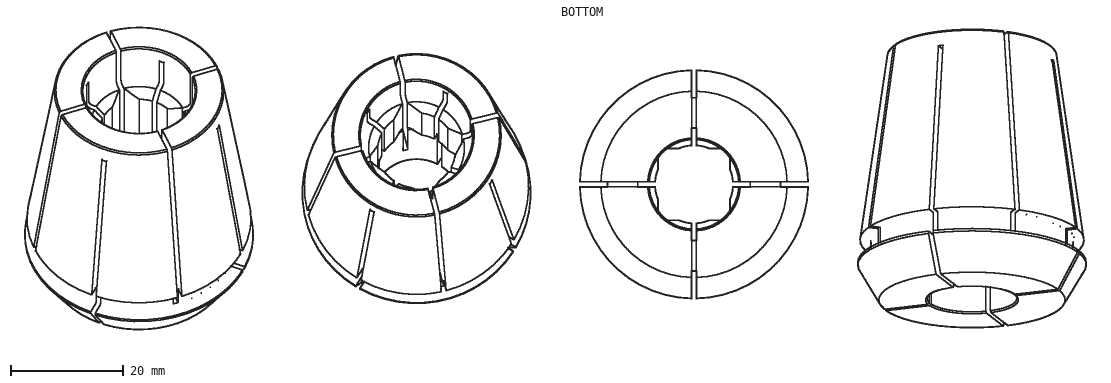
import cadquery as cq
import math

height = 46.0
flange_diameter = 40.8
flange_radius = flange_diameter / 2
taper_half_angle = 8.0
edge_break = 0.28
chamfer_angle = 45.0

nose_half_angle = 30.0
flange_rim_bottom = 6.55
nose_radius = flange_radius - flange_rim_bottom * math.tan(math.radians(nose_half_angle))
flange_top = 7.0
groove_radius = 18.1
groove_fillet = 0.25
taper_bottom = 11.2
taper_base_radius = 20.0
taper_top_radius = taper_base_radius - (height - taper_bottom) * math.tan(math.radians(taper_half_angle))

bore_radius = 10.05
bore_floor = 37.15
floor_fillet = 0.85
seat_radius = 8.55

clamp_radius = 8.0
clamp_length = 20.7
hole_radius = 6.95
square_side = 12.8
square_corner_fillet = 1.3

slot_width = 0.87
lower_slot_top = 43.1
upper_slot_floor = 7.45
slot_length = 1.5 * flange_diameter


def make_body():
    """Revolved outer shape with a filleted groove and a light chamfer at the shank end."""
    fillet_edge = groove_radius + groove_fillet
    return (
        cq.Workplane("XZ")
        .lineTo(nose_radius, 0)
        .lineTo(flange_radius, flange_rim_bottom)
        .lineTo(flange_radius, flange_top)
        .lineTo(fillet_edge, flange_top)
        .radiusArc((groove_radius, flange_top + groove_fillet), groove_fillet)
        .lineTo(groove_radius, taper_bottom - groove_fillet)
        .radiusArc((fillet_edge, taper_bottom), groove_fillet)
        .lineTo(taper_base_radius, taper_bottom)
        .lineTo(taper_top_radius, height - edge_break)
        .lineTo(taper_top_radius - edge_break, height)
        .lineTo(0, height)
        .close()
        .revolve(360, (0, 0, 0), (0, 1, 0))
    )


def make_bore():
    """Cutter for the shank bore, its filleted floor and the 45 degree seat."""
    seat_depth = seat_radius - hole_radius
    return (
        cq.Workplane("XZ")
        .moveTo(0, bore_floor - seat_depth)
        .lineTo(hole_radius, bore_floor - seat_depth)
        .lineTo(seat_radius, bore_floor)
        .lineTo(bore_radius - floor_fillet, bore_floor)
        .radiusArc((bore_radius, bore_floor + floor_fillet), -floor_fillet)
        .lineTo(bore_radius, height - edge_break)
        .lineTo(bore_radius + edge_break, height)
        .lineTo(0, height)
        .close()
        .revolve(360, (0, 0, 0), (0, 1, 0))
    )


def make_tool_opening():
    """Cutter for the chamfered clamping bore and the square with its round hole above it."""
    clamp = cq.Workplane("XY").circle(clamp_radius).extrude(clamp_length)
    mouth = cq.Workplane("XY").circle(clamp_radius + edge_break).extrude(edge_break, taper=chamfer_angle)
    hole = cq.Workplane("XY").circle(hole_radius).extrude(bore_floor)
    square = (
        cq.Workplane("XY")
        .workplane(offset=clamp_length)
        .rect(square_side, square_side)
        .extrude(bore_floor - clamp_length)
        .edges("|Z")
        .fillet(square_corner_fillet)
    )
    return clamp.union(mouth).union(hole).union(square)


def make_slots(first_angle, bottom, top):
    """Two crossing slots, each running through the full diameter."""
    slot = (
        cq.Workplane("XY")
        .workplane(offset=bottom)
        .rect(slot_length, slot_width)
        .extrude(top - bottom)
    )
    cutter = cq.Workplane("XY")
    for angle in (first_angle, first_angle + 90):
        cutter = cutter.add(slot.rotate((0, 0, 0), (0, 0, 1), angle))
    return cutter.combine()


result = (
    make_body()
    .cut(make_bore())
    .cut(make_tool_opening())
    .cut(make_slots(0, 0, lower_slot_top))
    .cut(make_slots(45, upper_slot_floor, height))
)